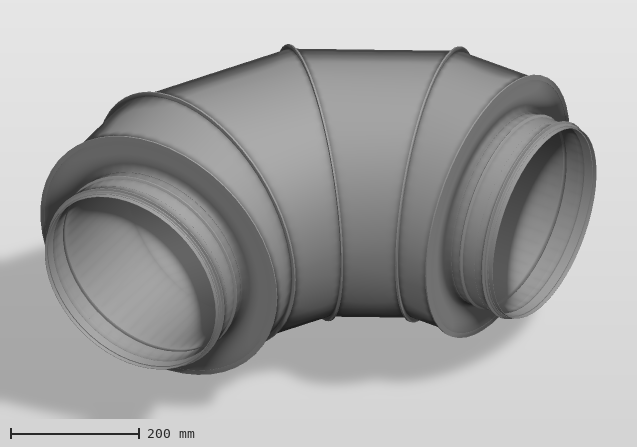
import cadquery as cq
import math


overall_length = 684.5
flange_diameter = 430.4
jacket_diameter = 416.4
cap_diameter = 415.0
sheet = 0.7

bend_radius = 371.8
mitre_angles = (15, 45, 75)
half_segment_angle = mitre_angles[0]
seam_bead_width = 2.8
flange_width = 2.1
cap_recess = sheet

spigot_radius = 312.35 / 2
rim_radius = 312.0 / 2
bead_radius = 318.75 / 2
groove_radius = 308.65 / 2
bore_radius = spigot_radius - sheet
root_fillet = 9.2
root_collar_radius = 313.4 / 2
root_collar_end = 10.2
spigot_length = 84.5
bead_station = 27.3
bead_half_width = 3.3
bead_crest_half_width = 0.9
step_station = 52.0
groove_start = 61.3
groove_end = 77.6
groove_slope = 2.6

gasket_inner_radius = 308.75 / 2
gasket_body_radius = 313.4 / 2
small_lip_radius = 318.75 / 2
large_lip_radius = 323.75 / 2
gasket_start = 68.3
gasket_end = groove_end
lip_pitch = 4.2
lip_width = 1.2
lip_taper = 1.5

leg_end = overall_length - flange_diameter / 2
flange_face = leg_end - spigot_length
bend_center = (bend_radius, -bend_radius)
vertex_distance = bend_radius / math.cos(math.radians(half_segment_angle))


def on_mitre(angle, distance):
    """Point on the mitre line that leaves the bend center at this angle above -X."""
    turn = math.radians(angle)
    return (bend_center[0] - distance * math.cos(turn), bend_center[1] + distance * math.sin(turn))


def bend(radius):
    """Round bar that follows the mitred centerline from flange face to flange face."""
    points = [(0, -flange_face)]
    points += [on_mitre(angle, vertex_distance) for angle in mitre_angles]
    points += [(flange_face, 0)]
    path = cq.Workplane("XY").polyline(points)
    start = cq.Workplane("XZ", origin=(0, -flange_face, 0))
    return start.circle(radius).sweep(path, transition="right")


def on_both_legs(body):
    """Copies of a body made on the -Y leg: itself and its mirror on the +X leg."""
    other = body.mirror("XZ").rotate((0, 0, 0), (0, 0, 1), -90)
    return [body, other]


def ring_on_leg(profile):
    """Turn a closed (radius, Y) profile about the axis of the -Y leg."""
    return profile.close().revolve(360, (0, 0, 0), (0, 1, 0))


def y_at(station):
    """Y of a station measured outward from the flange face of the -Y leg."""
    return -flange_face - station


def spigot_outline(inset):
    """Spigot points from bead to open rim, moved toward the axis by the inset.

    The steep groove wall is moved toward the rim by the same amount to keep its thickness.
    """
    stations = [
        (spigot_radius, bead_station - bead_half_width),
        (bead_radius, bead_station - bead_crest_half_width),
        (bead_radius, bead_station + bead_crest_half_width),
        (spigot_radius, bead_station + bead_half_width),
        (spigot_radius, step_station),
        (rim_radius, step_station),
        (rim_radius, groove_start),
        (groove_radius, groove_start + groove_slope),
        (groove_radius, groove_end + inset),
        (rim_radius, groove_end + inset),
        (rim_radius, spigot_length),
    ]
    return [(radius - inset, y_at(station)) for radius, station in stations]


def make_spigot():
    """Sheet spigot with a filleted root collar, a stiffening bead and a gasket groove."""
    root = y_at(-cap_recess)
    outside = spigot_outline(0)
    inside = reversed(spigot_outline(sheet))
    profile = (
        cq.Workplane("XY")
        .moveTo(root_collar_radius + root_fillet, root)
        .radiusArc((root_collar_radius, root - root_fillet), -root_fillet)
        .lineTo(root_collar_radius, y_at(root_collar_end))
        .lineTo(spigot_radius, y_at(root_collar_end))
    )
    for point in (*outside, *inside):
        profile = profile.lineTo(*point)
    profile = profile.lineTo(bore_radius, root)
    return ring_on_leg(profile)


def leg_disc(diameter, thickness):
    """Disc on the -Y leg that reaches inward from the flange face by its thickness."""
    plane = cq.Workplane("XZ", origin=(0, thickness - flange_face, 0))
    return plane.circle(diameter / 2).extrude(thickness)


def make_seam_slab(angle):
    """Thin slab along a mitre plane, wide enough to cut the whole bend."""
    slab = cq.Workplane("XY").box(2 * flange_diameter, seam_bead_width, 2 * flange_diameter)
    x, y = on_mitre(angle, vertex_distance)
    return slab.rotate((0, 0, 0), (0, 0, 1), -angle).translate((x, y, 0))


def make_elbow():
    """Mitred jacket with seam beads and end flanges, bored through, with a spigot on each end."""
    elbow = bend(jacket_diameter / 2)
    bead_stock = bend(flange_diameter / 2)
    for angle in mitre_angles:
        elbow = elbow.union(bead_stock.intersect(make_seam_slab(angle)))
    for flange in on_both_legs(leg_disc(flange_diameter, flange_width)):
        elbow = elbow.union(flange)
    for recess in on_both_legs(leg_disc(cap_diameter, cap_recess)):
        elbow = elbow.cut(recess)
    elbow = elbow.cut(bend(bore_radius))
    for spigot in on_both_legs(make_spigot()):
        elbow = elbow.union(spigot)
    return elbow


def make_gasket():
    """Gasket ring seated in the groove, with a large lip followed by a smaller one."""
    profile = cq.Workplane("XY").moveTo(gasket_inner_radius, y_at(gasket_start))
    for number, radius in enumerate((large_lip_radius, small_lip_radius)):
        foot = gasket_start + number * lip_pitch
        profile = profile.lineTo(gasket_body_radius, y_at(foot))
        profile = profile.lineTo(radius, y_at(foot))
        profile = profile.lineTo(radius, y_at(foot + lip_width))
        profile = profile.lineTo(gasket_body_radius, y_at(foot + lip_width + lip_taper))
    profile = profile.lineTo(gasket_body_radius, y_at(gasket_end))
    profile = profile.lineTo(gasket_inner_radius, y_at(gasket_end))
    return ring_on_leg(profile)


elbow = make_elbow()
gaskets = on_both_legs(make_gasket())

result = cq.Compound.makeCompound([elbow.val(), *[gasket.val() for gasket in gaskets]])